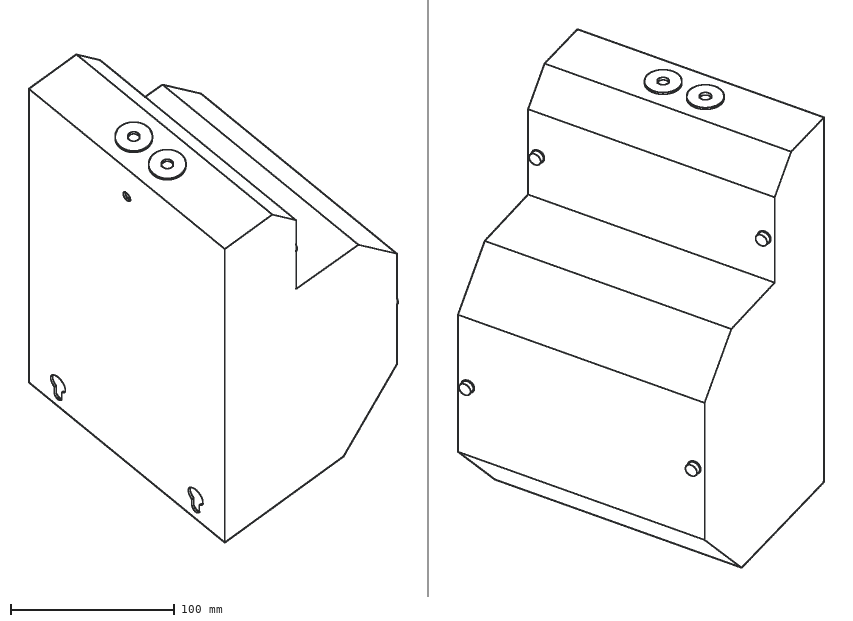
import cadquery as cq

width = 175.2
body_height = 282.0
body_depth = 145.0
upper_depth = 60.0
bottom_depth = 100.0
lower_chamfer_top = 51.5
front_face_top = 157.5
shelf_front_depth = 112.5
shelf_front_height = 193.0
shelf_rear_height = 194.0
upper_chamfer_depth = 20.0
upper_chamfer_height = 22.0

screw_diameter = 8.2
screw_height = 3.89
screw_collar_diameter = 9.0
screw_collar_height = 0.5
screw_edge_distance = 7.2
lower_screw_z = 105.0
upper_screw_z = 226.5

grommet_diameter = 23.0
grommet_height = 1.4
grommet_spacing = 30.0
grommet_y = 20.0
grommet_bore_diameter = 7.5
grommet_bore_depth = 2.0

mounting_depth = 1.5
hole_diameter = 6.5
hole_z = body_height - 26.7
keyhole_spacing = 123.0
keyhole_head_diameter = 13.0
keyhole_slot_width = 6.5
keyhole_head_z = 21.5
keyhole_slot_z = 10.0


def make_body():
    """Stepped side profile extruded symmetrically across the width."""
    profile = [
        (0, 0),
        (bottom_depth, 0),
        (body_depth, lower_chamfer_top),
        (body_depth, front_face_top),
        (shelf_front_depth, shelf_front_height),
        (upper_depth, shelf_rear_height),
        (upper_depth, body_height - upper_chamfer_height),
        (upper_depth - upper_chamfer_depth, body_height),
        (0, body_height),
    ]
    return cq.Workplane("YZ").polyline(profile).close().extrude(width / 2, both=True)


def make_screw_head(x, face_y, z):
    """Cylindrical head on a thin collar, standing out of a front face along +Y."""
    face = cq.Workplane("XZ", origin=(x, face_y, z))
    collar = face.circle(screw_collar_diameter / 2).extrude(-screw_collar_height)
    head = face.circle(screw_diameter / 2).extrude(-screw_height)
    return collar.union(head)


def make_grommet(x):
    """Flat disc standing on the top face."""
    top_face = cq.Workplane("XY", origin=(x, grommet_y, body_height))
    return top_face.circle(grommet_diameter / 2).extrude(grommet_height)


def make_grommet_bore(x):
    """Blind round bore sunk from the top of a grommet."""
    grommet_top = cq.Workplane("XY", origin=(x, grommet_y, body_height + grommet_height))
    return grommet_top.circle(grommet_bore_diameter / 2).extrude(-grommet_bore_depth)


def rear_pocket_plane(x, z):
    """Plane on the rear face whose normal points outwards along -Y."""
    return cq.Workplane("XZ", origin=(x, 0, z))


def make_keyhole(x):
    """Round opening with a narrower round-ended slot below it."""
    slot_length = keyhole_head_z - keyhole_slot_z
    head = rear_pocket_plane(x, keyhole_head_z).circle(keyhole_head_diameter / 2).extrude(-mounting_depth)
    slot_end = rear_pocket_plane(x, keyhole_slot_z).circle(keyhole_slot_width / 2).extrude(-mounting_depth)
    slot = (
        rear_pocket_plane(x, keyhole_slot_z + slot_length / 2)
        .rect(keyhole_slot_width, slot_length)
        .extrude(-mounting_depth)
    )
    return head.union(slot).union(slot_end)


result = make_body()

for side in (-1, 1):
    screw_x = side * (width / 2 - screw_edge_distance)
    result = result.union(make_screw_head(screw_x, body_depth, lower_screw_z))
    result = result.union(make_screw_head(screw_x, upper_depth, upper_screw_z))
    grommet_x = side * grommet_spacing / 2
    result = result.union(make_grommet(grommet_x))
    result = result.cut(make_grommet_bore(grommet_x))
    result = result.cut(make_keyhole(side * keyhole_spacing / 2))

result = result.cut(rear_pocket_plane(0, hole_z).circle(hole_diameter / 2).extrude(-mounting_depth))